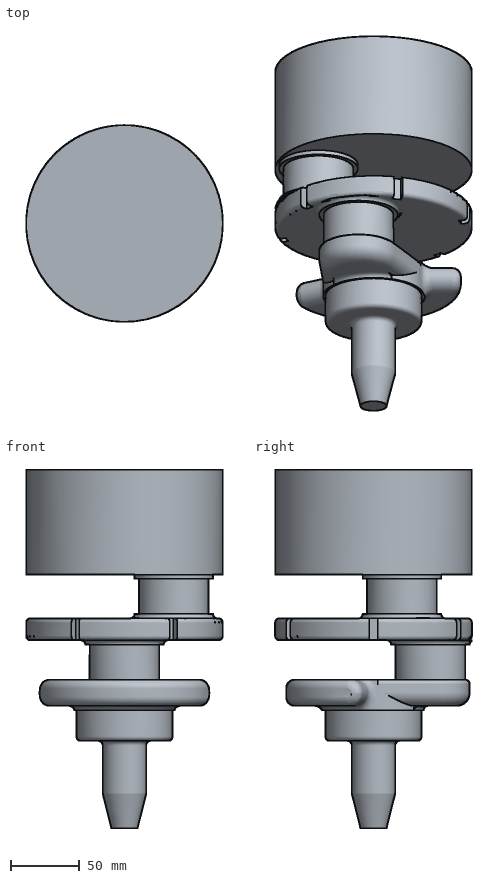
import cadquery as cq
import math

NOSE_TAPER_LENGTH = 25.4
NOSE_LENGTH = 63.5
FLANGE_LENGTH = 22.225
COLLAR_HEIGHT = 3.175
LOWER_WEB_THICKNESS = 19.05
PIN_LENGTH = 25.4
MIDDLE_WEB_THICKNESS = 15.875
DISC_HEIGHT = 76.2

FLANGE_TOP = NOSE_LENGTH + FLANGE_LENGTH
LOWER_WEB_BOTTOM = FLANGE_TOP + COLLAR_HEIGHT
LOWER_WEB_TOP = LOWER_WEB_BOTTOM + LOWER_WEB_THICKNESS
LOWER_PIN_TOP = LOWER_WEB_TOP + PIN_LENGTH
MIDDLE_WEB_BOTTOM = LOWER_PIN_TOP + COLLAR_HEIGHT
MIDDLE_WEB_TOP = MIDDLE_WEB_BOTTOM + MIDDLE_WEB_THICKNESS
UPPER_PIN_BOTTOM = MIDDLE_WEB_TOP + COLLAR_HEIGHT
UPPER_PIN_TOP = UPPER_PIN_BOTTOM + PIN_LENGTH
DISC_BOTTOM = UPPER_PIN_TOP + COLLAR_HEIGHT

NOSE_RADIUS = 15.875
NOSE_TIP_RADIUS = 9.525
FLANGE_RADIUS = 34.925
HUB_RADIUS = 36.5125
PIN_RADIUS = 25.4
PIN_COLLAR_RADIUS = 28.575
DISC_RADIUS = 71.46
COUNTERWEIGHT_RADIUS = 63.5

THROW = 41.275
LOWER_PIN_ANGLE = 90
UPPER_PIN_ANGLE = 30

SMALL_ROUND = 3.175
COUNTERWEIGHT_ROUND = 6.35
ARM_BOTTOM_ROUND = 9.525

HORN_APEX = 7.2
HORN_SLOPE = 15
HORN_END_ROUND = 9.5

HUB_BLEND = 6.35
HUB_BLEND_END = 3.0

TOLERANCE = 0.001

NOTCH_COUNT = 6
NOTCH_WIDTH = 6.35
NOTCH_DEPTH = 6.35


def polar(radius, angle):
    """Point at a radius and an angle in degrees."""
    return (radius * math.cos(math.radians(angle)), radius * math.sin(math.radians(angle)))


def cylinder(radius, bottom, top, center=(0, 0)):
    """Upright cylinder between two levels."""
    return cq.Workplane("XY", origin=(*center, bottom)).circle(radius).extrude(top - bottom)


def flared_collar(radius, thin_level, web_level, center):
    """Collar with a concave flare that widens to meet a web face."""
    height = web_level - thin_level
    flare = abs(height)
    diagonal = flare * math.sqrt(0.5)
    arc_middle = (radius + flare - diagonal, thin_level + math.copysign(diagonal, height))
    collar = (
        cq.Workplane("XZ")
        .moveTo(0, thin_level)
        .lineTo(radius, thin_level)
        .threePointArc(arc_middle, (radius + flare, web_level))
        .lineTo(0, web_level)
        .close()
        .revolve(360, (0, 0, 0), (0, 1, 0))
    )
    envelope = cylinder(DISC_RADIUS, min(thin_level, web_level), max(thin_level, web_level))
    return collar.translate((*center, 0)).intersect(envelope)


def hub_seam_edges(body):
    """Edges lying on the hub cylinder within the thickness of the lower web."""
    def on_seam(point):
        on_hub = math.isclose(math.hypot(point.x, point.y), HUB_RADIUS, abs_tol=TOLERANCE)
        return on_hub and LOWER_WEB_BOTTOM - TOLERANCE < point.z < LOWER_WEB_TOP + TOLERANCE

    samples = (0.1, 0.35, 0.6, 0.9)
    return [edge for edge in body.edges().vals() if all(on_seam(edge.positionAt(t)) for t in samples)]


def make_nose():
    """Tapered shaft end with a fillet running into the flange."""
    diagonal = SMALL_ROUND * (1 - math.sqrt(0.5))
    return (
        cq.Workplane("XZ")
        .lineTo(NOSE_TIP_RADIUS, 0)
        .lineTo(NOSE_RADIUS, NOSE_TAPER_LENGTH)
        .lineTo(NOSE_RADIUS, NOSE_LENGTH - SMALL_ROUND)
        .threePointArc(
            (NOSE_RADIUS + diagonal, NOSE_LENGTH - diagonal),
            (NOSE_RADIUS + SMALL_ROUND, NOSE_LENGTH),
        )
        .lineTo(0, NOSE_LENGTH)
        .close()
        .revolve(360, (0, 0, 0), (0, 1, 0))
    )


def make_flange():
    """Journal flange with a rounded lower rim."""
    return cylinder(FLANGE_RADIUS, NOSE_LENGTH, FLANGE_TOP).faces("<Z").edges().fillet(SMALL_ROUND)


def make_arm():
    """Crank arm: the hub circle and the pin end joined by tangent flanks."""
    tangent_angle = math.degrees(math.asin((HUB_RADIUS - PIN_COLLAR_RADIUS) / THROW))
    hub_x, hub_y = polar(HUB_RADIUS, tangent_angle)
    end_x, end_y = polar(PIN_COLLAR_RADIUS, tangent_angle)
    end_y += THROW
    return (
        cq.Workplane("XY", origin=(0, 0, LOWER_WEB_BOTTOM))
        .moveTo(hub_x, hub_y)
        .lineTo(end_x, end_y)
        .threePointArc((0, THROW + PIN_COLLAR_RADIUS), (-end_x, end_y))
        .lineTo(-hub_x, hub_y)
        .threePointArc((0, -HUB_RADIUS), (hub_x, hub_y))
        .close()
        .extrude(LOWER_WEB_THICKNESS)
        .faces(">Z").edges().fillet(SMALL_ROUND)
        .faces("<Z").edges().fillet(ARM_BOTTOM_ROUND)
    )


def make_counterweight():
    """Rounded sector opposite the pin, blended into the hub and trimmed to the web and its collar."""
    apex_offset = HORN_APEX * math.sin(math.radians(HORN_SLOPE))
    horn_length = apex_offset + math.sqrt(apex_offset**2 + COUNTERWEIGHT_RADIUS**2 - HORN_APEX**2)
    tip_x, tip_drop = polar(horn_length, HORN_SLOPE)
    tip_y = HORN_APEX - tip_drop
    sector = (
        cq.Workplane("XY", origin=(0, 0, LOWER_WEB_BOTTOM))
        .moveTo(0, HORN_APEX)
        .lineTo(tip_x, tip_y)
        .threePointArc((0, -COUNTERWEIGHT_RADIUS), (-tip_x, tip_y))
        .close()
        .extrude(LOWER_WEB_THICKNESS)
    )
    sector = sector.edges("%LINE and (not |Z)").fillet(HORN_END_ROUND)
    sector = sector.faces("<Z or >Z").edges("%CIRCLE").fillet(COUNTERWEIGHT_ROUND)
    overrun = 2 * HUB_BLEND
    tall_hub = cylinder(HUB_RADIUS, LOWER_WEB_BOTTOM - overrun, LOWER_WEB_TOP + overrun)
    blended = sector.union(tall_hub)
    blended = blended.newObject(hub_seam_edges(blended)).fillet(HUB_BLEND)
    slab = (
        cq.Workplane("XY", origin=(0, 0, FLANGE_TOP))
        .rect(4 * COUNTERWEIGHT_RADIUS, 2 * COUNTERWEIGHT_RADIUS)
        .extrude(LOWER_WEB_TOP - FLANGE_TOP)
        .translate((0, HUB_BLEND_END - COUNTERWEIGHT_RADIUS, 0))
    )
    return blended.intersect(slab)


def make_middle_web():
    """Round web with rounded rims and evenly spaced rim notches."""
    web = cylinder(DISC_RADIUS, MIDDLE_WEB_BOTTOM, MIDDLE_WEB_TOP).edges().fillet(SMALL_ROUND)
    notches = (
        cq.Workplane("XY", origin=(0, 0, MIDDLE_WEB_BOTTOM))
        .polarArray(DISC_RADIUS, 0, 360, NOTCH_COUNT)
        .rect(2 * NOTCH_DEPTH, NOTCH_WIDTH)
        .extrude(MIDDLE_WEB_THICKNESS)
    )
    return web.cut(notches)


def make_lower_web():
    """Arm and counterweight on the hub, with the hub flare kept to the area under the arm."""
    arm = make_arm()
    footprint = arm.faces("<Z").wires().toPending().workplane().extrude(COLLAR_HEIGHT, combine=False)
    flare = flared_collar(HUB_RADIUS, FLANGE_TOP, LOWER_WEB_BOTTOM, (0, 0)).intersect(footprint)
    hub = cylinder(HUB_RADIUS, FLANGE_TOP, LOWER_WEB_TOP - SMALL_ROUND)
    return make_counterweight().union(arm).union(hub).union(flare)


lower_pin_center = polar(THROW, LOWER_PIN_ANGLE)
upper_pin_center = polar(THROW, UPPER_PIN_ANGLE)

result = (
    make_lower_web()
    .union(make_nose())
    .union(make_flange())
    .union(cylinder(PIN_RADIUS, LOWER_WEB_TOP, LOWER_PIN_TOP, lower_pin_center))
    .union(flared_collar(PIN_COLLAR_RADIUS, LOWER_PIN_TOP, MIDDLE_WEB_BOTTOM, lower_pin_center))
    .union(make_middle_web())
    .union(flared_collar(PIN_COLLAR_RADIUS, UPPER_PIN_BOTTOM, MIDDLE_WEB_TOP, upper_pin_center))
    .union(cylinder(PIN_RADIUS, UPPER_PIN_BOTTOM, UPPER_PIN_TOP, upper_pin_center))
    .union(cylinder(PIN_COLLAR_RADIUS, UPPER_PIN_TOP, DISC_BOTTOM, upper_pin_center))
    .union(cylinder(DISC_RADIUS, DISC_BOTTOM, DISC_BOTTOM + DISC_HEIGHT))
)